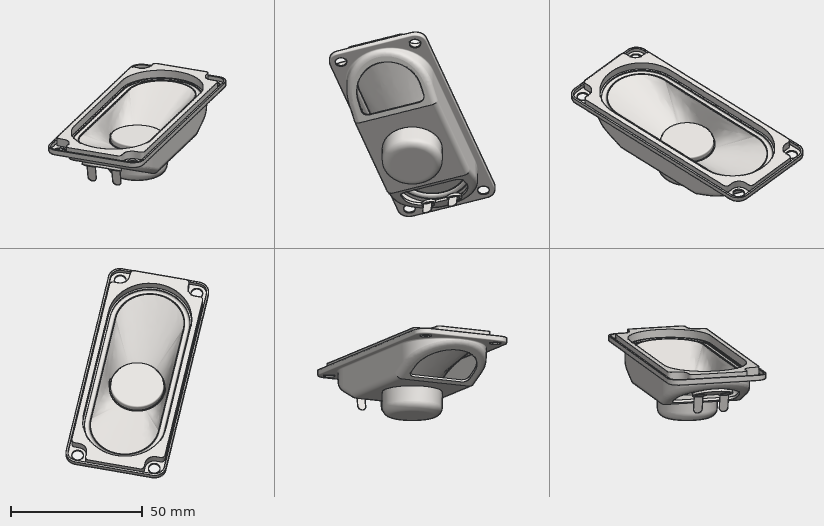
import cadquery as cq
import math


FLANGE_WIDTH = 38.71
FLANGE_LENGTH = 88.84
TOTAL_HEIGHT = 25.51

FLANGE_CORNER_RADIUS = 4.45
RIM_TOP_Z = -1.6
TRAY_FLOOR_Z = -3.1
FLANGE_BOTTOM_Z = -3.68
RIM_THICKNESS = 0.75
FLANGE_EDGE_FILLET = 0.4
HOLE_DIAMETER = 4.4
HOLE_PITCH_X = 29.7
HOLE_PITCH_Y = 80.5

GASKET_WIDTH = 36.05
GASKET_LENGTH = 87.1
GASKET_NOTCH_X = 11.35
GASKET_NOTCH_Y = 36.95
GASKET_NOTCH_FILLET = 3.6
GASKET_CORNER_FILLET = 1.35

CONE_ARC_Y = 23.45
GASKET_OPENING_RADIUS = 16.0
ROLL_RADIUS = 1.0
ROLL_CENTER_RADIUS = 14.3
SURROUND_THICKNESS = 0.25
CONE_RIM_WIDTH = 0.25
CONE_INNER_BOTTOM_Z = -12.7
CONE_OUTER_BOTTOM_Z = -13.3
CONE_INNER_BOTTOM_RADIUS = 10.6
CONE_OUTER_BOTTOM_RADIUS = 10.4
COIL_RADIUS = 10.15
CAP_TOP_Z = -10.6
CAP_FILLET = 0.6

BASKET_RADIUS = 16.75
BASKET_ARC_Y = 25.0
BASKET_BOTTOM_Z = -16.3
BASKET_FLOOR_HALF_LENGTH = 19.3
BASKET_SLOPE = 25.2
BASKET_WALL = 1.0
BASKET_EDGE_FILLET = 2.4
BASKET_NECK_FILLET = 0.5
WINDOW_RADIUS = 12.55
WINDOW_LOW = 2.1
WINDOW_ARC_CENTER = 8.5
WINDOW_CORNER_RADIUS = 2.5
WINDOW_CUT_DEPTH = 1.6

MAGNET_RADIUS = 11.42
MAGNET_FILLET = 3.2

BOARD_THICKNESS = 1.0
BOARD_TOP = 21.8
BOARD_ARC_RADIUS = 9.8
BOARD_LOBE_RADIUS = 2.8
BOARD_LOBE_OFFSET = 5.0
BOARD_WAIST_OFFSET = 5.5
TERMINAL_PITCH = 10.16
TERMINAL_WIDTH = 3.4
TERMINAL_THICKNESS = 0.25
TERMINAL_PAD_RADIUS = 1.95
TERMINAL_TIP_Z = -17.5
TERMINAL_BEND_DROP = 2.1
TERMINAL_LEAN = 10.5
TERMINAL_TIP_RADIUS = 1.6

SLOPE_SIN = math.sin(math.radians(BASKET_SLOPE))
SLOPE_TAN = math.tan(math.radians(BASKET_SLOPE))
SLOPE_COS = math.cos(math.radians(BASKET_SLOPE))
SELECTION_MARGIN = 0.1
MAGNET_BOTTOM_Z = -TOTAL_HEIGHT
ROLL_INNER_RADIUS = ROLL_CENTER_RADIUS - ROLL_RADIUS
ROLL_OUTER_RADIUS = ROLL_CENTER_RADIUS + ROLL_RADIUS
CORNERS = [(sx, sy) for sx in (-1, 1) for sy in (-1, 1)]


def slot(radius, arc_y, bottom_z, top_z):
    """Round-ended block along Y with end arcs centred at +-arc_y."""
    length = 2 * (arc_y + radius)
    return (
        cq.Workplane("XY", origin=(0, 0, bottom_z))
        .slot2D(length, 2 * radius, 90)
        .extrude(top_z - bottom_z)
    )


def rounded_plate(width, length, corner_radius, bottom_z, top_z):
    return (
        cq.Workplane("XY", origin=(0, 0, bottom_z))
        .rect(width, length)
        .extrude(top_z - bottom_z)
        .edges("|Z")
        .fillet(corner_radius)
    )


def make_flange():
    plate = rounded_plate(FLANGE_WIDTH, FLANGE_LENGTH, FLANGE_CORNER_RADIUS, FLANGE_BOTTOM_Z, RIM_TOP_Z)
    plate = plate.faces("<Z").edges().fillet(FLANGE_EDGE_FILLET)
    recess = rounded_plate(
        FLANGE_WIDTH - 2 * RIM_THICKNESS,
        FLANGE_LENGTH - 2 * RIM_THICKNESS,
        FLANGE_CORNER_RADIUS - RIM_THICKNESS,
        TRAY_FLOOR_Z,
        RIM_TOP_Z,
    )
    return plate.cut(recess)


def make_gasket():
    gasket = (
        cq.Workplane("XY", origin=(0, 0, TRAY_FLOOR_Z))
        .rect(GASKET_WIDTH, GASKET_LENGTH)
        .extrude(-TRAY_FLOOR_Z)
    )
    notch = rounded_plate(
        GASKET_WIDTH - 2 * GASKET_NOTCH_X,
        GASKET_LENGTH - 2 * GASKET_NOTCH_Y,
        GASKET_NOTCH_FILLET,
        TRAY_FLOOR_Z,
        0,
    )
    for sx, sy in CORNERS:
        gasket = gasket.cut(notch.translate((sx * GASKET_WIDTH / 2, sy * GASKET_LENGTH / 2, 0)))
    outer_corners = gasket.edges("|Z").edges(">X or <X or >Y or <Y")
    gasket = outer_corners.fillet(GASKET_CORNER_FILLET)
    return gasket.cut(slot(GASKET_OPENING_RADIUS, CONE_ARC_Y, TRAY_FLOOR_Z, 0))


def make_basket_form(inset, edge_fillet, top_z):
    """Boat-shaped block: a slot with both ends sloped up from a flat floor."""
    floor_z = BASKET_BOTTOM_Z + inset
    half_floor = BASKET_FLOOR_HALF_LENGTH - inset * (1 - SLOPE_COS) / SLOPE_SIN
    half_top = half_floor + (top_z - floor_z) / SLOPE_TAN
    side_profile = (
        cq.Workplane("YZ", origin=(-FLANGE_WIDTH / 2, 0, 0))
        .polyline([(-half_floor, floor_z), (half_floor, floor_z), (half_top, top_z), (-half_top, top_z)])
        .close()
        .extrude(FLANGE_WIDTH)
    )
    form = slot(BASKET_RADIUS - inset, BASKET_ARC_Y, floor_z, top_z).intersect(side_profile)
    lower_edges = form.edges("not |Z").edges("not >Z").edges("not |X")
    return lower_edges.fillet(edge_fillet)


def slope_plane(side):
    """Plane of one sloped end (side -1 or +1 along Y): y runs up the slope, z points outward."""
    return cq.Plane(
        origin=(0, side * BASKET_FLOOR_HALF_LENGTH, BASKET_BOTTOM_Z),
        xDir=(-side, 0, 0),
        normal=(0, side * SLOPE_SIN, -SLOPE_COS),
    )


def make_window(side):
    """Arched cutter, square to the slope, just deep enough to pierce the basket wall."""
    low_corner_x = WINDOW_RADIUS - WINDOW_CORNER_RADIUS
    low_corner_y = WINDOW_LOW + WINDOW_CORNER_RADIUS
    return (
        cq.Workplane(slope_plane(side))
        .workplane(offset=-WINDOW_CUT_DEPTH)
        .moveTo(-low_corner_x, WINDOW_LOW)
        .lineTo(low_corner_x, WINDOW_LOW)
        .tangentArcPoint((WINDOW_RADIUS, low_corner_y), relative=False)
        .lineTo(WINDOW_RADIUS, WINDOW_ARC_CENTER)
        .tangentArcPoint((-WINDOW_RADIUS, WINDOW_ARC_CENTER), relative=False)
        .lineTo(-WINDOW_RADIUS, low_corner_y)
        .tangentArcPoint((-low_corner_x, WINDOW_LOW), relative=False)
        .close()
        .extrude(2 * WINDOW_CUT_DEPTH)
    )


def make_basket():
    """Flange and hollow basket in one piece, with the two end windows and the mounting holes."""
    basket = make_flange().union(make_basket_form(0, BASKET_EDGE_FILLET, FLANGE_BOTTOM_Z))
    reach_x = BASKET_RADIUS + SELECTION_MARGIN
    reach_y = BASKET_ARC_Y + BASKET_RADIUS + SELECTION_MARGIN
    neck = cq.selectors.BoxSelector(
        (-reach_x, -reach_y, FLANGE_BOTTOM_Z - SELECTION_MARGIN),
        (reach_x, reach_y, FLANGE_BOTTOM_Z + SELECTION_MARGIN),
    )
    basket = basket.edges(neck).fillet(BASKET_NECK_FILLET)
    basket = basket.cut(make_basket_form(BASKET_WALL, BASKET_EDGE_FILLET - BASKET_WALL, FLANGE_BOTTOM_Z))
    basket = basket.cut(slot(ROLL_OUTER_RADIUS, CONE_ARC_Y, FLANGE_BOTTOM_Z, TRAY_FLOOR_Z))
    for side in (-1, 1):
        basket = basket.cut(make_window(side))
    holes = (
        cq.Workplane("XY", origin=(0, 0, FLANGE_BOTTOM_Z))
        .rect(HOLE_PITCH_X, HOLE_PITCH_Y, forConstruction=True)
        .vertices()
        .circle(HOLE_DIAMETER / 2)
        .extrude(TRAY_FLOOR_Z - FLANGE_BOTTOM_Z)
    )
    return basket.cut(holes)


def make_oval_tube(radius):
    """Solid tube of round section following the oval middle line of the surround."""
    end = (
        cq.Workplane("XZ", origin=(0, CONE_ARC_Y, 0))
        .center(ROLL_CENTER_RADIUS, TRAY_FLOOR_Z)
        .circle(radius)
        .revolve(180, (-ROLL_CENTER_RADIUS, 0, 0), (-ROLL_CENTER_RADIUS, 1, 0))
    )
    rails = (
        cq.Workplane("XZ", origin=(0, CONE_ARC_Y, 0))
        .pushPoints([(-ROLL_CENTER_RADIUS, TRAY_FLOOR_Z), (ROLL_CENTER_RADIUS, TRAY_FLOOR_Z)])
        .circle(radius)
        .extrude(2 * CONE_ARC_Y)
    )
    return end.union(end.mirror("XZ")).union(rails)


def make_surround():
    """Trough-shaped half roll hanging below the tray floor."""
    roll = make_oval_tube(ROLL_RADIUS + SURROUND_THICKNESS).cut(make_oval_tube(ROLL_RADIUS))
    lower_half = slot(BASKET_RADIUS, CONE_ARC_Y, CONE_OUTER_BOTTOM_Z, TRAY_FLOOR_Z)
    return roll.intersect(lower_half)


def split_oval(radius, arc_y, z, corner):
    """Oval, or a circle if arc_y is 0, in four pieces that meet at the corner angle of its arcs."""
    x = radius * math.cos(corner)
    y = arc_y + radius * math.sin(corner)
    end_y = arc_y + radius
    outline = cq.Workplane("XY", origin=(0, 0, z)).moveTo(x, -y)
    if arc_y > 0:
        outline = outline.lineTo(x, y)
    else:
        outline = outline.threePointArc((radius, 0), (x, y))
    outline = outline.threePointArc((0, end_y), (-x, y))
    if arc_y > 0:
        outline = outline.lineTo(-x, -y)
    else:
        outline = outline.threePointArc((-radius, 0), (-x, -y))
    return outline.threePointArc((0, -end_y), (x, -y)).close().val()


def make_funnel(rim_radius, throat_radius, throat_z):
    """Solid funnel from the oval rim at the tray floor to a round throat."""
    rim = split_oval(rim_radius, CONE_ARC_Y, TRAY_FLOOR_Z, 0)
    throat = split_oval(throat_radius, 0, throat_z, math.atan2(CONE_ARC_Y, rim_radius))
    return cq.Workplane(cq.Solid.makeLoft([rim, throat], True))


def make_cone():
    outside = make_funnel(ROLL_INNER_RADIUS, CONE_OUTER_BOTTOM_RADIUS, CONE_OUTER_BOTTOM_Z)
    inside = make_funnel(
        ROLL_INNER_RADIUS - CONE_RIM_WIDTH, CONE_INNER_BOTTOM_RADIUS, CONE_INNER_BOTTOM_Z
    )
    return outside.cut(inside)


def make_coil_and_cap():
    coil_bottom_z = BASKET_BOTTOM_Z + BASKET_WALL / 2
    return (
        cq.Workplane("XY", origin=(0, 0, coil_bottom_z))
        .circle(COIL_RADIUS)
        .extrude(CAP_TOP_Z - coil_bottom_z)
        .faces(">Z")
        .edges()
        .fillet(CAP_FILLET)
    )


def make_magnet():
    return (
        cq.Workplane("XY", origin=(0, 0, MAGNET_BOTTOM_Z))
        .circle(MAGNET_RADIUS)
        .extrude(BASKET_BOTTOM_Z - MAGNET_BOTTOM_Z)
        .faces("<Z")
        .edges()
        .fillet(MAGNET_FILLET)
    )


def make_terminal_board():
    """Board lying on the -Y slope: a broad arc above, two round lobes below."""
    lobe_x = TERMINAL_PITCH / 2
    lobe_y = BOARD_TOP - BOARD_LOBE_OFFSET
    arc_center_y = BOARD_TOP - BOARD_ARC_RADIUS
    waist_y = BOARD_TOP - BOARD_WAIST_OFFSET
    reach = math.hypot(lobe_x, lobe_y - arc_center_y)
    toward_x = lobe_x / reach
    toward_y = (lobe_y - arc_center_y) / reach
    join_x = lobe_x + BOARD_LOBE_RADIUS * toward_x
    join_y = lobe_y + BOARD_LOBE_RADIUS * toward_y
    waist_x = lobe_x - math.sqrt(BOARD_LOBE_RADIUS**2 - (lobe_y - waist_y) ** 2)
    low_y = lobe_y - BOARD_LOBE_RADIUS
    return (
        cq.Workplane(slope_plane(-1))
        .moveTo(-join_x, join_y)
        .threePointArc((0, BOARD_TOP), (join_x, join_y))
        .threePointArc((lobe_x, low_y), (waist_x, waist_y))
        .lineTo(-waist_x, waist_y)
        .threePointArc((-lobe_x, low_y), (-join_x, join_y))
        .close()
        .extrude(BOARD_THICKNESS)
    )


def make_terminal(x):
    """Solder tab: a round pad on the board and a blade bent down from its lower edge."""
    bend_up_slope = BOARD_TOP - BOARD_LOBE_OFFSET - TERMINAL_BEND_DROP
    pad_plane = cq.Workplane(slope_plane(-1)).workplane(offset=BOARD_THICKNESS)
    pad = (
        pad_plane.center(x, BOARD_TOP - BOARD_LOBE_OFFSET)
        .circle(TERMINAL_PAD_RADIUS)
        .extrude(TERMINAL_THICKNESS)
    )
    bend = slope_plane(-1).toWorldCoords((x, bend_up_slope, BOARD_THICKNESS))
    lean = math.radians(TERMINAL_LEAN)
    blade_plane = cq.Plane(
        origin=bend.toTuple(), xDir=(1, 0, 0), normal=(0, -math.cos(lean), -math.sin(lean))
    )
    length = (bend.z - TERMINAL_TIP_Z) / math.cos(lean)
    half_width = TERMINAL_WIDTH / 2
    tip_x = half_width - TERMINAL_TIP_RADIUS
    tip_y = TERMINAL_TIP_RADIUS - length
    blade = (
        cq.Workplane(blade_plane)
        .moveTo(half_width, 0)
        .lineTo(half_width, tip_y)
        .tangentArcPoint((tip_x, -length), relative=False)
        .lineTo(-tip_x, -length)
        .tangentArcPoint((-half_width, tip_y), relative=False)
        .lineTo(-half_width, 0)
        .close()
        .extrude(TERMINAL_THICKNESS)
    )
    return pad.union(blade)


result = (
    make_basket()
    .union(make_gasket())
    .union(make_surround())
    .union(make_cone())
    .union(make_coil_and_cap())
    .union(make_magnet())
    .union(make_terminal_board())
)
for terminal_x in (-TERMINAL_PITCH / 2, TERMINAL_PITCH / 2):
    result = result.union(make_terminal(terminal_x))